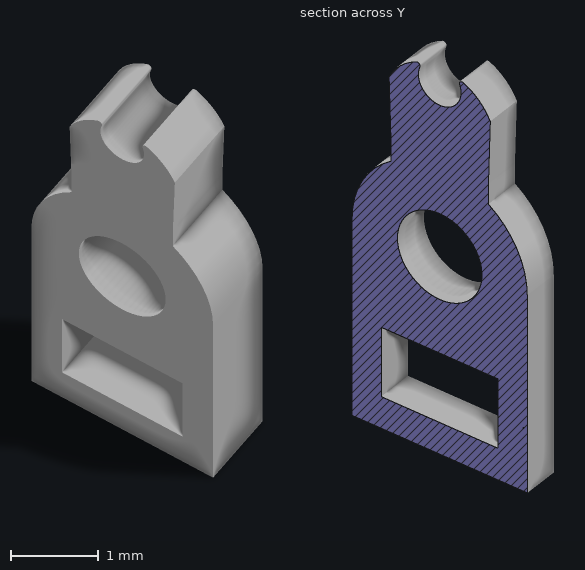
import cadquery as cq
import math

height = 5.37
width = 2.5
thickness = 1.0
back_y = thickness / 2

shoulder_radius = width / 2
pivot_z = 2.775
pivot_diameter = 1.2

neck_half_width = 0.7
flare_start_z = 4.095
head_half_width = 0.725

head_radius = 0.805
notch_radius = 0.3
notch_z = 5.205
lip_radius = 0.045

window_width = 1.655
window_height = 0.965
window_bottom_z = 0.45

lip_z = height - lip_radius
lip_x = math.sqrt((notch_radius + lip_radius) ** 2 - (lip_z - notch_z) ** 2)
head_z = lip_z - math.sqrt((head_radius - lip_radius) ** 2 - lip_x**2)

neck_base_z = pivot_z + math.sqrt(shoulder_radius**2 - neck_half_width**2)
head_corner_z = head_z + math.sqrt(head_radius**2 - head_half_width**2)


def point_on_circle(center_z, radius, angle):
    """Point on a circle centred on the middle line, angle in radians from +X."""
    return (radius * math.cos(angle), center_z + radius * math.sin(angle))


def mirrored(point):
    return (-point[0], point[1])


shoulder_end = (shoulder_radius, pivot_z)
neck_base = (neck_half_width, neck_base_z)
flare_start = (neck_half_width, flare_start_z)
head_corner = (head_half_width, head_corner_z)
lip_top = (lip_x, height)

shoulder_angle = math.atan2(neck_base_z - pivot_z, neck_half_width)
shoulder_middle = point_on_circle(pivot_z, shoulder_radius, shoulder_angle / 2)

corner_angle = math.atan2(head_corner_z - head_z, head_half_width)
dome_end_angle = math.atan2(lip_z - head_z, lip_x)
dome_end = point_on_circle(head_z, head_radius, dome_end_angle)
dome_middle = point_on_circle(head_z, head_radius, (corner_angle + dome_end_angle) / 2)
notch_end = point_on_circle(notch_z, notch_radius, math.atan2(lip_z - notch_z, lip_x))
notch_bottom = (0, notch_z - notch_radius)


def make_body():
    outline = (
        cq.Workplane("XZ", origin=(0, back_y, 0))
        .moveTo(-width / 2, 0)
        .lineTo(width / 2, 0)
        .lineTo(*shoulder_end)
        .threePointArc(shoulder_middle, neck_base)
        .lineTo(*flare_start)
        .lineTo(*head_corner)
        .threePointArc(dome_middle, dome_end)
        .threePointArc(lip_top, notch_end)
        .threePointArc(notch_bottom, mirrored(notch_end))
        .threePointArc(mirrored(lip_top), mirrored(dome_end))
        .threePointArc(mirrored(dome_middle), mirrored(head_corner))
        .lineTo(*mirrored(flare_start))
        .lineTo(*mirrored(neck_base))
        .threePointArc(mirrored(shoulder_middle), mirrored(shoulder_end))
        .close()
    )
    return outline.extrude(thickness)


def make_pivot_hole():
    return (
        cq.Workplane("XZ", origin=(0, back_y, 0))
        .center(0, pivot_z)
        .circle(pivot_diameter / 2)
        .extrude(thickness)
    )


def make_window():
    return (
        cq.Workplane("XZ", origin=(0, back_y, 0))
        .center(0, window_bottom_z + window_height / 2)
        .rect(window_width, window_height)
        .extrude(thickness)
    )


result = make_body().cut(make_pivot_hole()).cut(make_window())